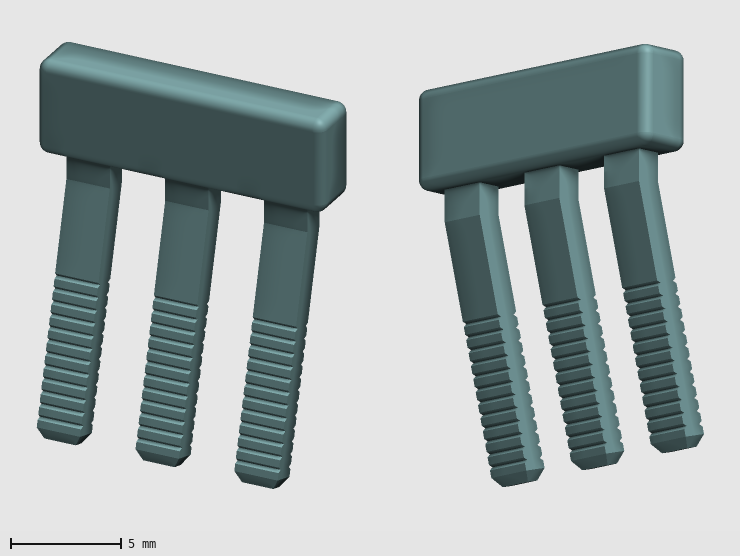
import cadquery as cq
import math

OVERALL_HEIGHT = 18

BODY_LENGTH = 14.5
BODY_DEPTH = 2.8
BODY_HEIGHT = 4.7
BODY_FILLET = 0.5

LEG_COUNT = 3
LEG_PITCH = 5.0
LEG_WIDTH = 2.2
LEG_THICKNESS = 1.25
BEND_ANGLE = 15

GROOVE_COUNT = 12
GROOVED_LENGTH = 7.2
GROOVE_WIDTH = 0.25
GROOVE_DEPTH = 0.2
FIRST_GROOVE = 4.5

TIP_LENGTH = 0.5
TIP_INSET = 0.3

GROOVE_PITCH = GROOVED_LENGTH / GROOVE_COUNT
TIP_START = FIRST_GROOVE + GROOVED_LENGTH

SLOPE = math.radians(BEND_ANGLE)
TIP_END_THICKNESS = LEG_THICKNESS - 2 * TIP_INSET
SLOPING_DROP = (TIP_START + TIP_LENGTH) * math.cos(SLOPE) + TIP_END_THICKNESS / 2 * math.sin(SLOPE)
BEND_Z = SLOPING_DROP - OVERALL_HEIGHT


def make_body():
    bar = cq.Workplane("XY").box(BODY_LENGTH, BODY_DEPTH, BODY_HEIGHT)
    return bar.edges().fillet(BODY_FILLET).translate((0, 0, -BODY_HEIGHT / 2))


def make_straight_part():
    """Upper part of a leg, from mid-body down to the mitred plane of the bend."""
    half = LEG_THICKNESS / 2
    miter = half * math.tan(SLOPE / 2)
    top = -BODY_HEIGHT / 2
    outline = [(-half, top), (half, top), (half, BEND_Z - miter), (-half, BEND_Z + miter)]
    return cq.Workplane("YZ").polyline(outline).close().extrude(LEG_WIDTH / 2, both=True)


def grooved_side(side):
    """Points down one broad face of the sloping part: side is -1 for -Y, +1 for +Y."""
    face = side * LEG_THICKNESS / 2
    miter = face * math.tan(SLOPE / 2)
    points = [(face, miter)]
    for i in range(GROOVE_COUNT):
        start = FIRST_GROOVE + i * GROOVE_PITCH
        points.append((face, -start))
        points.append((face - side * GROOVE_DEPTH, -start - GROOVE_WIDTH / 2))
        points.append((face, -start - GROOVE_WIDTH))
    points.append((face, -TIP_START))
    return points


def make_sloping_part():
    """Grooved part and tip, built vertically with the bend at the origin, then tilted."""
    outline = grooved_side(-1) + grooved_side(1)[::-1]
    shank = cq.Workplane("YZ").polyline(outline).close().extrude(LEG_WIDTH / 2, both=True)
    tip = (
        cq.Workplane("XY", origin=(0, 0, -TIP_START))
        .rect(LEG_WIDTH, LEG_THICKNESS)
        .workplane(offset=-TIP_LENGTH)
        .rect(LEG_WIDTH - 2 * TIP_INSET, TIP_END_THICKNESS)
        .loft(ruled=True)
    )
    upright = shank.union(tip)
    return upright.rotate((0, 0, 0), (1, 0, 0), -BEND_ANGLE).translate((0, 0, BEND_Z))


leg = make_straight_part().union(make_sloping_part())
result = make_body()
for i in range(LEG_COUNT):
    leg_x = (i - (LEG_COUNT - 1) / 2) * LEG_PITCH
    result = result.union(leg.translate((leg_x, 0, 0)))